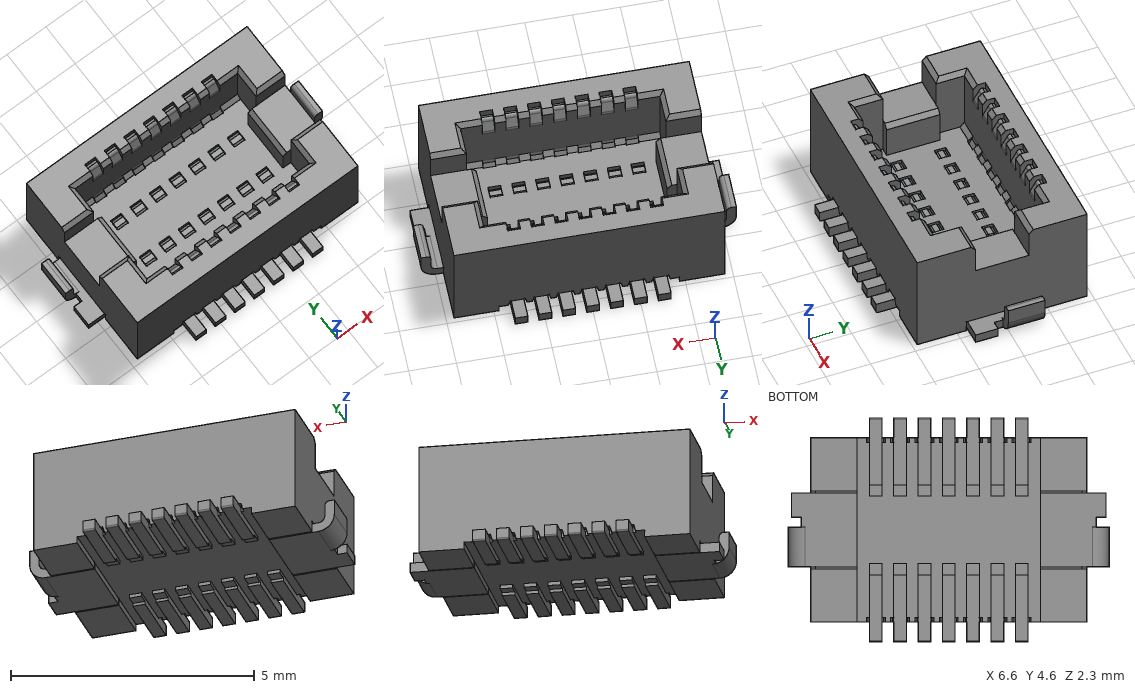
import cadquery as cq
import math

BODY_LENGTH = 5.67
BODY_WIDTH = 3.79
BODY_HEIGHT = 2.3
BEVEL = 0.1

CAVITY_LENGTH = 4.17
CAVITY_WIDTH = 2.45
FLOOR_Z = 0.8
NOTCH_WIDTH = 1.19
NOTCH_Z = 1.61
STOP_FACE_X = 1.88

PIN_COUNT = 7
PIN_ROW_LENGTH = 2.995
PIN_WIDTH = 0.265
LEAD_SPAN = 4.6
LEAD_HEIGHT = 0.245
LEAD_EDGE = 0.03
LEAD_STEP_Y = 0.925
LEAD_INNER_Y = 0.69
LEAD_STEP_Z = 0.065

CHANNEL_LENGTH = 3.775
CHANNEL_HEIGHT = 0.145
RELIEF_TOP_WIDTH = 0.31
RELIEF_BOTTOM_WIDTH = 0.39
RELIEF_HEIGHT = 0.285
RELIEF_DEPTH = 0.1
POCKET_WIDTH = 1.6
POCKET_MOUTH_HEIGHT = 0.245
POCKET_MOUTH_DEPTH = 0.1

WINDOW_ROW_SPACING = 0.985
WINDOW_WIDTH = 0.25
WINDOW_DEPTH = 0.11
HUMP_TOP_WIDTH = 0.12
HUMP_HEIGHT = 0.06

FLOOR_NOTCH_Y = 1.1
FLOOR_NOTCH_DEPTH = 0.12
FLOOR_NOTCH_BACK = 0.025
FLOOR_NOTCH_LEAN = 0.02

SLOT_BACK_Y = 1.5
SLOT_LOWER_Z = 1.875
CONTACT_LIP = (1.24, 1.93)
CONTACT_SHOULDER = (1.35, 2.11)
CONTACT_CROWN_MIDDLE = (1.385, 2.16)
CONTACT_CROWN_END = (1.43, 2.17)
CONTACT_BACK_Z = 2.13

TAB_THICKNESS = 0.205
TAB_WIDTH = 1.52
FOOT_X = 3.235
WAIST_X = 3.03
HOOK_X = 3.3
HOOK_HEIGHT = 0.685
HOOK_END_Y = -0.06
FOOT_START_Y = -0.26
HOOK_INNER_RADIUS = 0.14
HOOK_TIP_RADIUS = 0.1

HALF_LENGTH = BODY_LENGTH / 2
HALF_WIDTH = BODY_WIDTH / 2
WALL_Y = CAVITY_WIDTH / 2
CHANNEL_X = CHANNEL_LENGTH / 2
LEAD_TIP_Y = LEAD_SPAN / 2
WINDOW_Y = WINDOW_ROW_SPACING / 2
PIN_PITCH = PIN_ROW_LENGTH / (PIN_COUNT - 1)
PIN_XS = [(i - (PIN_COUNT - 1) / 2) * PIN_PITCH for i in range(PIN_COUNT)]
DIAGONAL = math.sqrt(0.5)


def block(x0, x1, y0, y1, z0, z1):
    """Axis-aligned box between two opposite corners."""
    return cq.Workplane("XY").box(x1 - x0, y1 - y0, z1 - z0, centered=False).translate((x0, y0, z0))


def across_x(wire, x_center, width):
    """Solid from a closed YZ outline, centred on x_center."""
    return wire.extrude(width / 2, both=True).translate((x_center, 0, 0))


def both_sides(solid, plane):
    """A solid together with its mirror image."""
    return solid.union(solid.mirror(plane))


def flared_opening(length, width, bottom_z):
    """Straight opening whose top edges are bevelled at 45 degrees."""
    straight = block(-length / 2, length / 2, -width / 2, width / 2, bottom_z, BODY_HEIGHT)
    flare_x = length / 2 + BEVEL
    flare_y = width / 2 + BEVEL
    flare = block(-flare_x, flare_x, -flare_y, flare_y, BODY_HEIGHT - BEVEL, BODY_HEIGHT + BEVEL)
    return straight.union(flare.faces("<Z").chamfer(BEVEL))


def make_housing():
    """Block with the cavity, end notches, end stops and floor bevels."""
    housing = block(-HALF_LENGTH, HALF_LENGTH, -HALF_WIDTH, HALF_WIDTH, 0, BODY_HEIGHT)
    housing = housing.cut(flared_opening(CAVITY_LENGTH, CAVITY_WIDTH, FLOOR_Z))
    housing = housing.cut(flared_opening(BODY_LENGTH + 4 * BEVEL, NOTCH_WIDTH, NOTCH_Z))

    stop = block(STOP_FACE_X, HALF_LENGTH, -NOTCH_WIDTH / 2, NOTCH_WIDTH / 2, FLOOR_Z, NOTCH_Z)
    stop = stop.edges("<X and >Z").chamfer(BEVEL)

    bevel_outline = cq.Workplane("YZ").polyline(
        [(WALL_Y, FLOOR_Z), (WALL_Y - BEVEL, FLOOR_Z), (WALL_Y, FLOOR_Z + BEVEL)]
    ).close()
    floor_bevel = across_x(bevel_outline, 0, CAVITY_LENGTH)
    return housing.union(both_sides(stop, "YZ")).union(both_sides(floor_bevel, "XZ"))


def wall_slot(x):
    """Slot at the top of the +Y wall, bottomed by the arched contact."""
    outline = (
        cq.Workplane("YZ")
        .moveTo(WALL_Y, SLOT_LOWER_Z)
        .lineTo(*CONTACT_LIP)
        .lineTo(*CONTACT_SHOULDER)
        .threePointArc(CONTACT_CROWN_MIDDLE, CONTACT_CROWN_END)
        .lineTo(SLOT_BACK_Y, CONTACT_BACK_Z)
        .lineTo(SLOT_BACK_Y, BODY_HEIGHT)
        .lineTo(WALL_Y, BODY_HEIGHT)
        .close()
    )
    return across_x(outline, x, PIN_WIDTH)


def floor_notch(x):
    """Notch through the floor bevel of the +Y wall, showing the contact."""
    outline = cq.Workplane("YZ").polyline([
        (WALL_Y, FLOOR_Z + BEVEL),
        (WALL_Y - FLOOR_NOTCH_LEAN, FLOOR_Z + FLOOR_NOTCH_BACK),
        (FLOOR_NOTCH_Y, FLOOR_Z - FLOOR_NOTCH_DEPTH),
        (FLOOR_NOTCH_Y, FLOOR_Z + BEVEL),
    ]).close()
    return across_x(outline, x, PIN_WIDTH)


def floor_window(x):
    """Shallow window in the cavity floor around a trapezoidal contact hump."""
    bottom_z = FLOOR_Z - WINDOW_DEPTH
    y0 = WINDOW_Y - WINDOW_WIDTH / 2
    y1 = WINDOW_Y + WINDOW_WIDTH / 2
    outline = cq.Workplane("YZ").polyline([
        (y0, FLOOR_Z),
        (y0, bottom_z),
        (WINDOW_Y - HUMP_TOP_WIDTH / 2, bottom_z + HUMP_HEIGHT),
        (WINDOW_Y + HUMP_TOP_WIDTH / 2, bottom_z + HUMP_HEIGHT),
        (y1, bottom_z),
        (y1, FLOOR_Z),
    ]).close()
    return across_x(outline, x, PIN_WIDTH)


def lead_relief(x):
    """Trapezoidal clearance in the +Y face around one lead."""
    half_top = RELIEF_TOP_WIDTH / 2
    slope = (RELIEF_BOTTOM_WIDTH / 2 - half_top) / (RELIEF_HEIGHT - CHANNEL_HEIGHT)
    half_base = half_top + slope * RELIEF_HEIGHT
    return (
        cq.Workplane("XZ", origin=(x, HALF_WIDTH, 0))
        .polyline([
            (-half_base, 0),
            (half_base, 0),
            (half_top, RELIEF_HEIGHT),
            (-half_top, RELIEF_HEIGHT),
        ])
        .close()
        .extrude(RELIEF_DEPTH)
    )


def lead(x):
    """Flat solder lead under the +Y side, stepped up at its inner end."""
    outline = cq.Workplane("YZ").polyline([
        (LEAD_INNER_Y, LEAD_STEP_Z),
        (LEAD_STEP_Y, LEAD_STEP_Z),
        (LEAD_STEP_Y, 0),
        (LEAD_TIP_Y, 0),
        (LEAD_TIP_Y, LEAD_HEIGHT),
        (LEAD_INNER_Y, LEAD_HEIGHT),
    ]).close()
    return across_x(outline, x, PIN_WIDTH).edges(">Y and <Z").fillet(LEAD_EDGE)


def underside_clearance():
    """Channel across the bottom and the stepped tab pocket at each end."""
    half_pocket = POCKET_WIDTH / 2
    channel = block(-CHANNEL_X, CHANNEL_X, -HALF_WIDTH, HALF_WIDTH, 0, CHANNEL_HEIGHT)
    pocket = block(CHANNEL_X, HALF_LENGTH, -half_pocket, half_pocket, 0, TAB_THICKNESS)
    mouth = block(
        HALF_LENGTH - POCKET_MOUTH_DEPTH, HALF_LENGTH, -half_pocket, half_pocket, 0, POCKET_MOUTH_HEIGHT
    )
    return channel.union(both_sides(pocket.union(mouth), "YZ"))


def solder_tab():
    """Tab at the +X end: a flat foot beside an upturned hook."""
    half_tab = TAB_WIDTH / 2
    base = block(CHANNEL_X, WAIST_X, -half_tab, HOOK_END_Y, 0, TAB_THICKNESS)
    foot = block(WAIST_X, FOOT_X, -half_tab, FOOT_START_Y, 0, TAB_THICKNESS)

    outer_radius = HOOK_INNER_RADIUS + TAB_THICKNESS
    bend_x = HOOK_X - outer_radius
    inner_x = HOOK_X - TAB_THICKNESS
    tip_x = inner_x + HOOK_TIP_RADIUS
    tip_z = HOOK_HEIGHT - HOOK_TIP_RADIUS
    hook = (
        cq.Workplane("XZ", origin=(0, half_tab, 0))
        .moveTo(CHANNEL_X, 0)
        .lineTo(bend_x, 0)
        .threePointArc(
            (bend_x + outer_radius * DIAGONAL, outer_radius * (1 - DIAGONAL)),
            (HOOK_X, outer_radius),
        )
        .lineTo(HOOK_X, HOOK_HEIGHT)
        .lineTo(tip_x, HOOK_HEIGHT)
        .threePointArc(
            (tip_x - HOOK_TIP_RADIUS * DIAGONAL, tip_z + HOOK_TIP_RADIUS * DIAGONAL),
            (inner_x, tip_z),
        )
        .lineTo(inner_x, outer_radius)
        .threePointArc(
            (bend_x + HOOK_INNER_RADIUS * DIAGONAL, outer_radius - HOOK_INNER_RADIUS * DIAGONAL),
            (bend_x, TAB_THICKNESS),
        )
        .lineTo(CHANNEL_X, TAB_THICKNESS)
        .close()
        .extrude(half_tab - HOOK_END_Y)
    )
    return base.union(foot).union(hook)


result = make_housing().cut(underside_clearance())
for pin_x in PIN_XS:
    for make_opening in (wall_slot, floor_notch, floor_window, lead_relief):
        result = result.cut(both_sides(make_opening(pin_x), "XZ"))
for pin_x in PIN_XS:
    result = result.union(both_sides(lead(pin_x), "XZ"))
result = result.union(both_sides(solder_tab(), "YZ"))